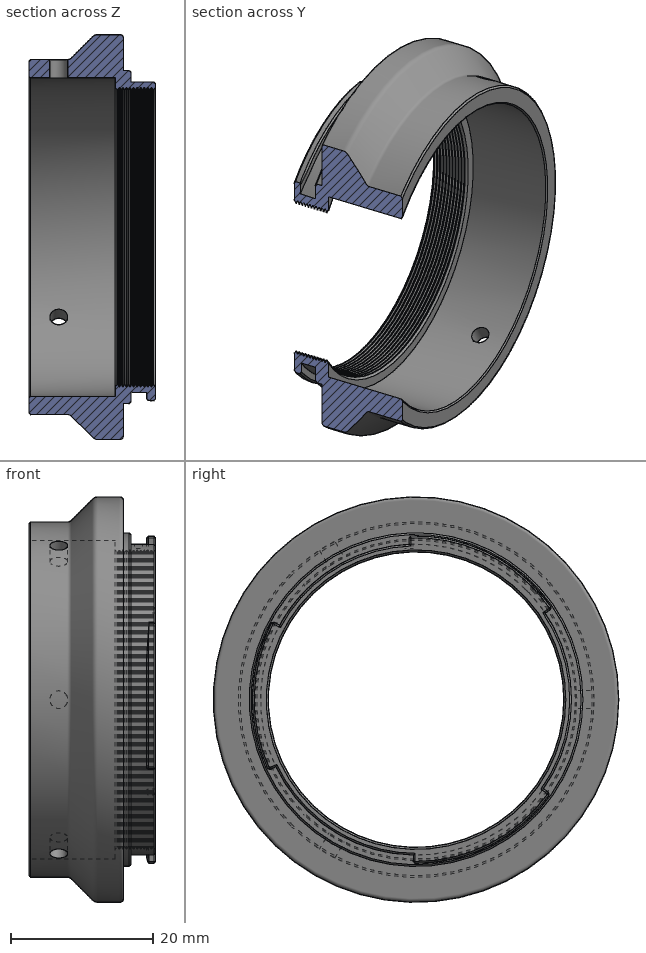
import cadquery as cq
import math

length = 17.8
socket_depth = 12.1
cone_start = 5.75
cone_angle = math.radians(45)
rim_end = 13.3
flange_end = 14.35

sleeve_dia = 50.0
rim_dia = 57.0
flange_dia = 46.9
barrel_dia = 43.7
socket_dia = 44.8
thread_minor_dia = 41.5

cone_foot_radius = 0.7
cone_top_radius = 1.0
rim_fillet = 0.5
edge_chamfer = 0.25
socket_chamfer = 0.2

thread_pitch = 0.5
thread_depth = 0.27
thread_crest = thread_pitch / 4
thread_root = thread_pitch / 8
thread_lead_in = 0.3

tab_outer_dia = 46.0
tab_width = 1.25
tab_chamfer = 0.25
tab_ramp_rise = 0.35
tab_ramp_length = 5.0
tab_spans = [(-56.2, 2.5), (61.4, 115.6), (179.0, 235.0)]

screw_hole_x = 4.2
screw_hole_dia = 2.5
screw_hole_angles = [30.0, 150.0, 270.0]

pin_hole_dia = 1.1
pin_hole_depth = 0.6
pin_hole_x = 15.4
pin_hole_y = -1.0

overlap = 0.3


def revolve_about_x(profile):
    return profile.close().revolve(360, (0, 0, 0), (1, 0, 0))


def rotate_about_x(shape, angle):
    return shape.rotate((0, 0, 0), (1, 0, 0), angle)


def distance_from_axis(edge):
    middle = edge.positionAt(0.5)
    return math.hypot(middle.y, middle.z)


def make_outside():
    """Stepped outside of the ring with a cone up to the rim."""
    sleeve_r = sleeve_dia / 2
    rim_r = rim_dia / 2
    flange_r = flange_dia / 2
    barrel_r = barrel_dia / 2
    cone_end = cone_start + (rim_r - sleeve_r) / math.tan(cone_angle)

    blend_ratio = math.tan(cone_angle / 2)
    foot_tangent = cone_foot_radius * blend_ratio
    top_tangent = cone_top_radius * blend_ratio
    foot_run = foot_tangent * math.cos(cone_angle)
    foot_rise = foot_tangent * math.sin(cone_angle)
    top_run = top_tangent * math.cos(cone_angle)
    top_rise = top_tangent * math.sin(cone_angle)

    return revolve_about_x(
        cq.Workplane("XY")
        .moveTo(0, 0)
        .lineTo(0, sleeve_r - edge_chamfer)
        .lineTo(edge_chamfer, sleeve_r)
        .lineTo(cone_start - foot_tangent, sleeve_r)
        .tangentArcPoint((cone_start + foot_run, sleeve_r + foot_rise), relative=False)
        .lineTo(cone_end - top_run, rim_r - top_rise)
        .tangentArcPoint((cone_end + top_tangent, rim_r), relative=False)
        .lineTo(rim_end - rim_fillet, rim_r)
        .tangentArcPoint((rim_end, rim_r - rim_fillet), relative=False)
        .lineTo(rim_end, flange_r)
        .lineTo(flange_end - edge_chamfer, flange_r)
        .lineTo(flange_end, flange_r - edge_chamfer)
        .lineTo(flange_end, barrel_r)
        .lineTo(length - edge_chamfer, barrel_r)
        .lineTo(length, barrel_r - edge_chamfer)
        .lineTo(length, 0)
    )


def make_bore():
    """Smooth socket followed by the grooved bore, as one cutting tool."""
    socket_r = socket_dia / 2
    minor_r = thread_minor_dia / 2
    profile = (
        cq.Workplane("XY")
        .moveTo(0, 0)
        .lineTo(0, socket_r + socket_chamfer)
        .lineTo(socket_chamfer, socket_r)
        .lineTo(socket_depth, socket_r)
        .lineTo(socket_depth, minor_r + thread_lead_in)
        .lineTo(socket_depth + thread_lead_in, minor_r)
    )
    flank = (thread_pitch - thread_crest - thread_root) / 2
    first_crest = socket_depth + thread_lead_in
    groove_count = int((length - thread_lead_in - first_crest) / thread_pitch)
    for i in range(groove_count):
        start = first_crest + i * thread_pitch + thread_crest
        root_start = start + flank
        root_end = root_start + thread_root
        profile = (
            profile.lineTo(start, minor_r)
            .lineTo(root_start, minor_r + thread_depth)
            .lineTo(root_end, minor_r + thread_depth)
            .lineTo(root_end + flank, minor_r)
        )
    profile = (
        profile.lineTo(length - thread_lead_in, minor_r)
        .lineTo(length, minor_r + thread_lead_in)
        .lineTo(length, 0)
    )
    return revolve_about_x(profile)


def make_tab(start_angle, end_angle):
    """Bayonet tab with chamfered edges and a back-face ramp at its leading end."""
    outer_r = tab_outer_dia / 2
    inner_r = barrel_dia / 2 - edge_chamfer - overlap
    back = length - tab_width
    tab = (
        cq.Workplane("XZ")
        .moveTo(back, inner_r)
        .lineTo(back, outer_r)
        .lineTo(length, outer_r)
        .lineTo(length, inner_r)
        .close()
        .revolve(end_angle - start_angle, (0, 0, 0), (1, 0, 0))
    )
    exposed_edges = [
        edge for edge in tab.edges().vals()
        if distance_from_axis(edge) > inner_r + edge_chamfer
    ]
    tab = tab.newObject(exposed_edges).chamfer(tab_chamfer)
    ramp_cut = (
        cq.Workplane("XY")
        .moveTo(back, 0)
        .lineTo(back + tab_ramp_rise, 0)
        .lineTo(back, -tab_ramp_length)
        .close()
        .extrude(rim_dia / 2)
    )
    return rotate_about_x(tab.cut(ramp_cut), start_angle)


def make_screw_hole(angle):
    hole = cq.Workplane("XY").center(screw_hole_x, 0).circle(screw_hole_dia / 2).extrude(rim_dia / 2)
    return rotate_about_x(hole, angle)


def make_pin_hole():
    floor = barrel_dia / 2 - pin_hole_depth
    return (
        cq.Workplane("XY")
        .workplane(offset=floor)
        .center(pin_hole_x, pin_hole_y)
        .circle(pin_hole_dia / 2)
        .extrude(pin_hole_depth + overlap)
    )


result = make_outside()
for start_angle, end_angle in tab_spans:
    result = result.union(make_tab(start_angle, end_angle))
result = result.cut(make_bore())
for angle in screw_hole_angles:
    result = result.cut(make_screw_hole(angle))
result = result.cut(make_pin_hole())